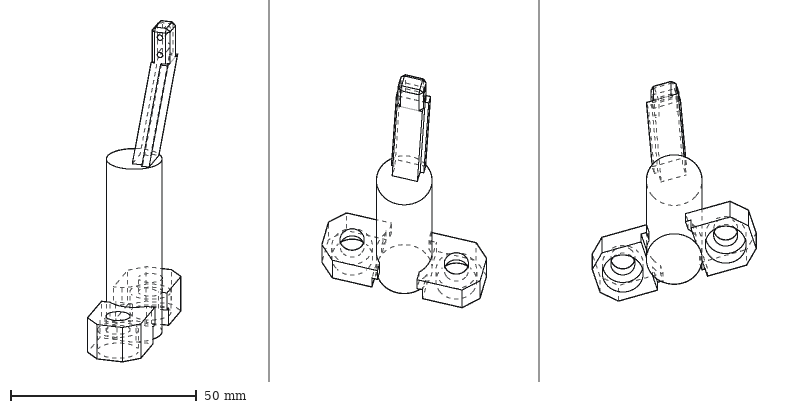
import cadquery as cq
import math

total_height = 90.0
post_height = 50.0
tab_height = 10.0

post_diameter = 15.0

arm_base_left = 0.5
arm_lean = 10.0
web_depth = 3.0
web_width = 7.0
flange_depth = 2.1
flange_width = 9.0
tab_chamfer = 1.0
pin_hole_diameter = 1.5
pin_hole_spacing = tab_height / 2

arm_height = total_height - post_height - tab_height
arm_shift = arm_height * math.tan(math.radians(arm_lean))
tab_bottom = post_height + arm_height
tab_left = arm_base_left + arm_shift
tab_depth = web_depth + flange_depth

lug_width = post_diameter
lug_height = 10.0
overall_width = 44.0
lug_outer = overall_width / 2
lug_upper_inner = 5.5
lug_lower_inner = 7.0
lug_step_height = lug_height / 2
lug_chamfer = 4.0
bolt_offset = 14.5
bolt_hole_diameter = 6.5
bolt_head_diameter = 11.0
bolt_head_depth = 6.0


def make_leaning_bar(left, depth, width):
    """Bar of the leaning arm, with a parallelogram side outline."""
    right = left + depth
    outline = [
        (left, post_height),
        (right, post_height),
        (right + arm_shift, tab_bottom),
        (left + arm_shift, tab_bottom),
    ]
    return cq.Workplane("XZ").polyline(outline).close().extrude(width / 2, both=True)


def make_tab():
    """Upright tab, chamfered except at its foot, with two cross holes."""
    tab_middle = tab_left + tab_depth / 2
    tab = (
        cq.Workplane("XY", origin=(tab_middle, 0, tab_bottom))
        .rect(tab_depth, web_width)
        .extrude(tab_height)
        .edges("|Z or >Z")
        .chamfer(tab_chamfer)
    )
    hole_middle = tab_bottom + tab_height / 2
    holes = (
        cq.Workplane("XZ", origin=(tab_middle, 0, hole_middle))
        .rarray(0.9, pin_hole_spacing, 1, 2)
        .circle(pin_hole_diameter / 2)
        .extrude(web_width, both=True)
    )
    return tab.cut(holes)


def make_cylinder(height):
    return cq.Workplane("XY").circle(post_diameter / 2).extrude(height)


def make_post():
    """Round post with the arm and tab as one piece."""
    web = make_leaning_bar(arm_base_left, tab_depth, web_width)
    flange = make_leaning_bar(arm_base_left + web_depth, flange_depth, flange_width)
    return make_cylinder(post_height).union(web).union(flange).union(make_tab())


def make_lug():
    """Lug on the +Y side, hollowed to fit the post."""
    profile = [
        (lug_lower_inner, 0),
        (lug_outer, 0),
        (lug_outer, lug_height),
        (lug_upper_inner, lug_height),
        (lug_upper_inner, lug_step_height),
        (lug_lower_inner, lug_step_height),
    ]
    lug = (
        cq.Workplane("YZ")
        .polyline(profile)
        .close()
        .extrude(lug_width / 2, both=True)
        .edges("|Z and >Y")
        .chamfer(lug_chamfer)
    )
    bolt_axis = cq.Workplane("XY", origin=(0, bolt_offset, 0))
    bolt_hole = bolt_axis.circle(bolt_hole_diameter / 2).extrude(lug_height)
    head_recess = bolt_axis.circle(bolt_head_diameter / 2).extrude(bolt_head_depth)
    return lug.cut(make_cylinder(lug_height)).cut(bolt_hole).cut(head_recess)


post = make_post()

lugs = []
for turn in (0, 180):
    lug = make_lug().rotate((0, 0, 0), (0, 0, 1), turn)
    lugs.append(lug.val())

result = cq.Compound.makeCompound([post.val(), *lugs])